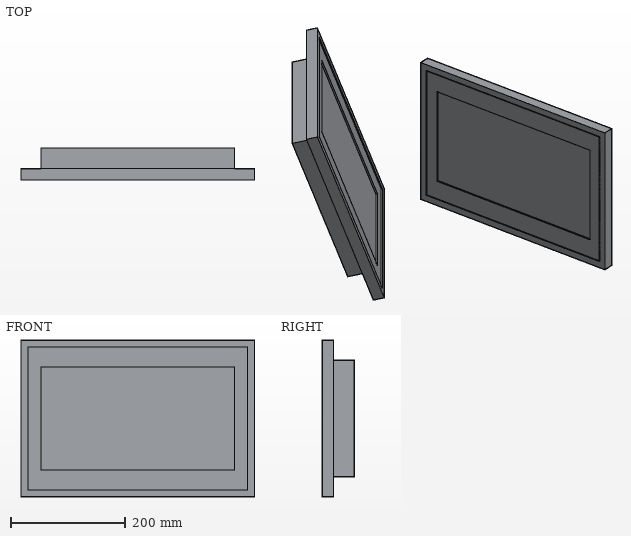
import cadquery as cq

WIDTH = 410.0
DEPTH = 56.5
HEIGHT = 275.0

PLATE_THICKNESS = 20.0
BORDER = 12.5

PANEL_WIDTH = WIDTH - 2 * BORDER
PANEL_HEIGHT = HEIGHT - 2 * BORDER
PANEL_RECESS = 2.0

SCREEN_WIDTH = 340.0
SCREEN_HEIGHT = 180.0
SCREEN_RECESS = 3.0

HOUSING_WIDTH = SCREEN_WIDTH
HOUSING_HEIGHT = 205.0
HOUSING_DEPTH = DEPTH - PLATE_THICKNESS


def block(width, depth, height, front):
    """Box centred on X and Z, running from Y = front toward +Y."""
    return cq.Workplane("XY").box(width, depth, height).translate((0, front + depth / 2, 0))


plate = block(WIDTH, PLATE_THICKNESS, HEIGHT, 0)
housing = block(HOUSING_WIDTH, HOUSING_DEPTH, HOUSING_HEIGHT, PLATE_THICKNESS)
panel_pocket = block(PANEL_WIDTH, PANEL_RECESS, PANEL_HEIGHT, 0)
screen_pocket = block(SCREEN_WIDTH, SCREEN_RECESS, SCREEN_HEIGHT, PANEL_RECESS)

result = plate.union(housing).cut(panel_pocket).cut(screen_pocket)